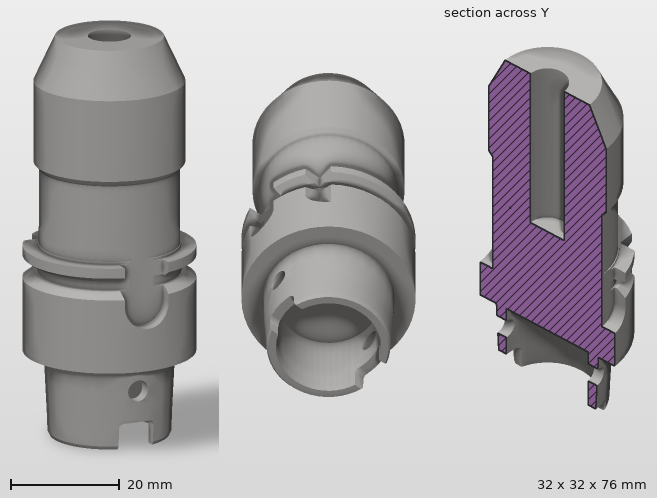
import cadquery as cq

total_height = 76.0
flange_bottom = 15.95
groove_chamfer_bottom = 29.95
groove_bottom = 31.15
groove_top = 33.1
groove_chamfer_top = 34.1
flange_top = 36.0
collar_top = 36.5
head_bottom = 50.9
head_chamfer_top = 52.05
nose_bottom = total_height - 8.5

shank_bottom_radius = 11.0
shank_taper_radius = 11.4
shank_top_radius = 12.15
shank_chamfer_height = 0.7
flange_radius = 16.0
lower_groove_edge_radius = 14.1
upper_groove_edge_radius = 14.45
groove_radius = 13.2
neck_radius = 13.0
head_radius = 14.0
nose_radius = 10.0

bore_diameter = 8.0
bore_depth = 36.0

cavity_radius = 9.65

narrow_slot_width = 7.1
wide_slot_width = 9.0
slot_bottom = 24.0
slot_floor_x = 13.0
corner_slot_floor_x = 9.5
corner_slot_wall_y = -9.5

notch_width = 7.1
shallow_notch_height = 3.2
deep_notch_height = 5.0
notch_fillet = 1.1
cross_hole_diameter = 4.0
cross_hole_height = 11.1


def turned_body():
    """Shank, grooved flange, neck and head revolved about Z."""
    return (
        cq.Workplane("XZ")
        .polyline([
            (0, 0),
            (shank_bottom_radius, 0),
            (shank_taper_radius, shank_chamfer_height),
            (shank_top_radius, flange_bottom),
            (flange_radius, flange_bottom),
            (flange_radius, groove_chamfer_bottom),
            (lower_groove_edge_radius, groove_bottom),
            (groove_radius, groove_bottom),
            (groove_radius, groove_top),
            (upper_groove_edge_radius, groove_top),
            (flange_radius, groove_chamfer_top),
            (flange_radius, flange_top),
            (groove_radius, flange_top),
            (groove_radius, collar_top),
            (neck_radius, collar_top),
            (neck_radius, head_bottom),
            (head_radius, head_chamfer_top),
            (head_radius, nose_bottom),
            (nose_radius, total_height),
            (0, total_height),
        ])
        .close()
        .revolve(360, (0, 0, 0), (0, 1, 0))
    )


def keyway(width, center_y, floor_x, side):
    """Round-bottomed slot, open upward, cut in from the +X (1) or -X (-1) side."""
    radius = width / 2
    arc_center = slot_bottom + radius
    return (
        cq.Workplane("YZ", origin=(side * floor_x, 0, 0))
        .moveTo(center_y - radius, collar_top)
        .lineTo(center_y - radius, arc_center)
        .threePointArc((center_y, slot_bottom), (center_y + radius, arc_center))
        .lineTo(center_y + radius, collar_top)
        .close()
        .extrude(side * flange_radius)
    )


def drive_notch(height, side):
    """Notch from the axis out through one side of the shank end."""
    return (
        cq.Workplane("XY")
        .box(flange_radius, notch_width, height, centered=(False, True, False))
        .edges("|X and >Z")
        .fillet(notch_fillet)
        .translate((0 if side > 0 else -flange_radius, 0, 0))
    )


corner_slot_y = corner_slot_wall_y - narrow_slot_width / 2
bore = (
    cq.Workplane("XY", origin=(0, 0, total_height - bore_depth))
    .circle(bore_diameter / 2)
    .extrude(bore_depth)
)
cavity = cq.Workplane("XY").circle(cavity_radius).extrude(flange_bottom)
cross_hole = (
    cq.Workplane("YZ")
    .center(0, cross_hole_height)
    .circle(cross_hole_diameter / 2)
    .extrude(flange_radius, both=True)
)

result = (
    turned_body()
    .cut(bore)
    .cut(cavity)
    .cut(cross_hole)
    .cut(keyway(narrow_slot_width, 0, slot_floor_x, -1))
    .cut(keyway(wide_slot_width, 0, slot_floor_x, 1))
    .cut(keyway(narrow_slot_width, corner_slot_y, corner_slot_floor_x, -1))
    .cut(drive_notch(shallow_notch_height, -1))
    .cut(drive_notch(deep_notch_height, 1))
)